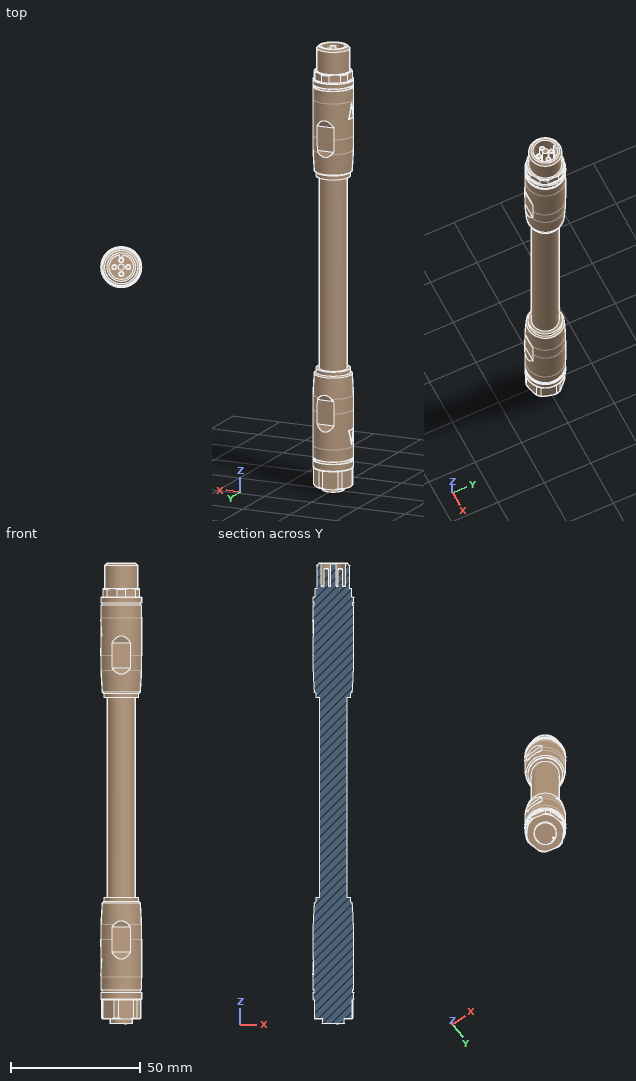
import cadquery as cq
import math

total_length = 178.4
body_diameter = 15.9
body_radius = body_diameter / 2
cable_diameter = 10.9
cable_radius = cable_diameter / 2

grip_length = 35.8
plug_grip_face = 162.1
socket_grip_face = 13.2
grip_face_radius = 7.8
grip_nose_length = 5.0
grip_straight_end = 19.5
grip_taper_start = 25.3
grip_taper_start_radius = 7.8
grip_taper_bulge = (7.7, 29.6)
grip_tail_diameter = 14.8
grip_tail_radius = grip_tail_diameter / 2
tail_ring_diameter = 13.4
tail_ring_radius = tail_ring_diameter / 2
tail_ring_length = 1.6
tail_chamfer = 0.5

recess_width = 7.3
recess_half_width = recess_width / 2
recess_start = 12.0
recess_end = 27.1
recess_ramp = 2.7

arrow_tip = 5.9
arrow_base = 12.0
arrow_width = 4.1
arrow_half_width = arrow_width / 2
arrow_depth = 0.2

groove_width = 0.9
groove_radius = 7.5
plug_collar_length = 2.3
socket_collar_length = 3.0
collar_chamfer = 0.4

hex_apothem = 7.1
hex_corner_radius = 7.5
hex_turn = 30.0
plug_hex_length = 3.2
sleeve_radius = 6.5
sleeve_chamfer = 0.9
bore_diameter = 9.5
bore_radius = bore_diameter / 2
bore_depth = 9.0
contact_diameter = 2.0
contact_radius = contact_diameter / 2
contact_count = 4
contact_circle_radius = 2.7
contact_recess = 2.1
earth_pin_diameter = 2.3
earth_pin_radius = earth_pin_diameter / 2
earth_pin_recess = 0.2
pin_tip_chamfer = 0.27
key_width = 1.2
key_inner_radius = 4.0

nut_across_flats = 14.1
nut_apothem = nut_across_flats / 2
nut_corner_radius = 7.7
nut_turn = 15.0
nut_chamfer = 0.45
nut_bottom = 2.0
core_radius = 4.3
core_bottom = 0.2
pip_radius = 0.4
pip_place = (1.6, 3.2)

plug_collar_bottom = plug_grip_face + groove_width
plug_collar_top = plug_collar_bottom + plug_collar_length
plug_hex_top = plug_collar_top + plug_hex_length
socket_collar_top = socket_grip_face - groove_width
socket_collar_bottom = socket_collar_top - socket_collar_length


def cylinder(radius, bottom, top):
    return cq.Workplane("XY").workplane(offset=bottom).circle(radius).extrude(top - bottom)


def rounded_hex(apothem, corner_radius, bottom, top, turn, end_face, end_chamfer):
    """Hexagonal bar whose corners are turned down to a cylinder chamfered at one end."""
    across_corners = 2 * apothem / math.cos(math.radians(30))
    bar = cq.Workplane("XY").workplane(offset=bottom).polygon(6, across_corners).extrude(top - bottom)
    bar = bar.rotate((0, 0, 0), (0, 0, 1), turn)
    return bar.intersect(cylinder(corner_radius, bottom, top).faces(end_face).chamfer(end_chamfer))


def finger_recess():
    """Flat-bottomed cutter for the -Y side, with a ramp at each end."""
    flat_depth = math.sqrt(body_radius**2 - recess_half_width**2)
    clear = body_radius + (body_radius - flat_depth)
    overrun = recess_ramp
    return (
        cq.Workplane("YZ")
        .moveTo(-flat_depth, recess_start + recess_ramp)
        .lineTo(-clear, recess_start - overrun)
        .lineTo(-clear, recess_end + overrun)
        .lineTo(-flat_depth, recess_end - recess_ramp)
        .close()
        .extrude(body_radius, both=True)
    )


def direction_arrow():
    """Triangular ring segment under the -X surface, pointing to the mating end."""
    triangle = (
        cq.Workplane("YZ")
        .polyline([(0, arrow_tip), (arrow_half_width, arrow_base), (-arrow_half_width, arrow_base)])
        .close()
        .extrude(-2 * body_radius)
    )
    return triangle.cut(cylinder(body_radius - arrow_depth, 0, grip_length))


def grip():
    """Grip with its mating face at Z = 0 and the cable leaving towards +Z."""
    tail_start = grip_length - tail_ring_length
    body = (
        cq.Workplane("XZ")
        .lineTo(grip_face_radius, 0)
        .lineTo(body_radius, grip_nose_length)
        .lineTo(body_radius, grip_straight_end)
        .lineTo(grip_taper_start_radius, grip_taper_start)
        .threePointArc(grip_taper_bulge, (grip_tail_radius, tail_start - tail_chamfer))
        .lineTo(tail_ring_radius, tail_start)
        .lineTo(tail_ring_radius, grip_length)
        .lineTo(0, grip_length)
        .close()
        .revolve(360, (0, 0, 0), (0, 1, 0))
    )
    recess = finger_recess()
    return body.cut(recess).cut(recess.mirror("XZ")).cut(direction_arrow())


def plug_end():
    collar = cylinder(body_radius, plug_collar_bottom, plug_collar_top).faces(">Z").chamfer(collar_chamfer)
    neck = cylinder(groove_radius, plug_grip_face, plug_collar_bottom)
    hexagon = rounded_hex(
        hex_apothem, hex_corner_radius, plug_collar_top, plug_hex_top, hex_turn, ">Z", collar_chamfer
    )
    sleeve = cylinder(sleeve_radius, plug_hex_top, total_length).faces(">Z").chamfer(sleeve_chamfer)
    bore_floor = total_length - bore_depth
    bore = cylinder(bore_radius, bore_floor, total_length)
    end = neck.union(collar).union(hexagon).union(sleeve).cut(bore)

    contact = cylinder(contact_radius, bore_floor, total_length - contact_recess)
    contact = contact.faces(">Z").chamfer(pin_tip_chamfer)
    for place in range(contact_count):
        angle = 2 * math.pi * place / contact_count
        offset = (contact_circle_radius * math.cos(angle), contact_circle_radius * math.sin(angle), 0)
        end = end.union(contact.translate(offset))
    earth_pin = cylinder(earth_pin_radius, bore_floor, total_length - earth_pin_recess)
    end = end.union(earth_pin)

    key_outer = (bore_radius + sleeve_radius - sleeve_chamfer) / 2
    key = (
        cq.Workplane("XY")
        .workplane(offset=bore_floor)
        .center(0, (key_inner_radius + key_outer) / 2)
        .rect(key_width, key_outer - key_inner_radius)
        .extrude(bore_depth)
    )
    return end.union(key)


def socket_end():
    neck = cylinder(groove_radius, socket_collar_top, socket_grip_face)
    collar = cylinder(body_radius, socket_collar_bottom, socket_collar_top)
    collar = collar.faces("<Z").chamfer(collar_chamfer)
    nut = rounded_hex(
        nut_apothem, nut_corner_radius, nut_bottom, socket_collar_bottom, nut_turn, "<Z", nut_chamfer
    )
    core = cylinder(core_radius, core_bottom, nut_bottom)
    pip = cylinder(pip_radius, 0, core_bottom).translate((pip_place[0], pip_place[1], 0))
    return neck.union(collar).union(nut).union(core).union(pip)


socket_grip = grip().translate((0, 0, socket_grip_face))
plug_grip = grip().mirror("XY").translate((0, 0, plug_grip_face))
cable = cylinder(cable_radius, socket_grip_face + grip_length, plug_grip_face - grip_length)

result = socket_end().union(socket_grip).union(cable).union(plug_grip).union(plug_end())